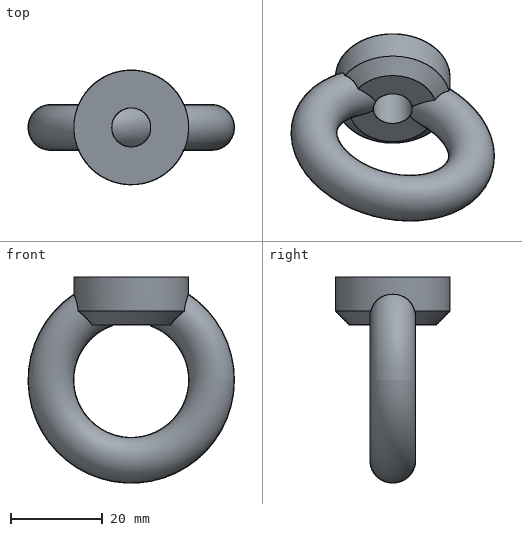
import cadquery as cq

outer_diameter = 45.0
bar_diameter = 10.0
bar_path_radius = (outer_diameter - bar_diameter) / 2

boss_diameter = 25.0
boss_height = 10.5
boss_chamfer = 3.0
bore_diameter = 8.5
boss_top = outer_diameter / 2


def make_ring():
    """Sweep the bar section around the Y axis."""
    return (
        cq.Workplane("XY")
        .center(bar_path_radius, 0)
        .circle(bar_diameter / 2)
        .revolve(360, (-bar_path_radius, 0), (-bar_path_radius, 1))
    )


def make_boss():
    """Cylinder hanging down from the boss top, chamfered at its lower edge."""
    return (
        cq.Workplane("XY", origin=(0, 0, boss_top))
        .circle(boss_diameter / 2)
        .extrude(-boss_height)
        .faces("<Z")
        .chamfer(boss_chamfer)
    )


def make_bore():
    """Vertical hole through the boss, opening into the eye of the ring."""
    return (
        cq.Workplane("XY", origin=(0, 0, boss_top))
        .circle(bore_diameter / 2)
        .extrude(-boss_top)
    )


result = make_ring().union(make_boss()).cut(make_bore())